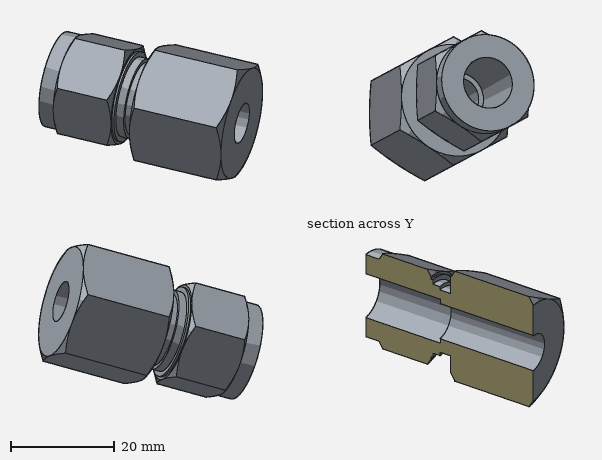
import cadquery as cq
import math

HEX_SIDES = 6

collar_end = 3.0
nut_end = 15.05
flange_end = 15.48
shoulder_end = 17.1
body_start = 19.5
total_length = 38.6

nut_across_flats = 19.0
body_across_flats = 22.0
collar_diameter = nut_across_flats
flange_diameter = 18.0
shoulder_diameter = 15.98
neck_diameter = 14.48
hex_chamfer_angle = 30.0

tube_bore_diameter = 10.0
through_bore_diameter = 8.0
tube_bore_depth = shoulder_end


def cylinder(start, end, diameter):
    """Solid cylinder on the X axis between two stations."""
    return cq.Workplane("YZ", origin=(start, 0, 0)).circle(diameter / 2).extrude(end - start)


def chamfered_hex(start, end, across_flats):
    """Hexagonal prism with corners up and down, its corners turned to a cone at both ends."""
    flat_radius = across_flats / 2
    corner_radius = flat_radius / math.cos(math.pi / HEX_SIDES)
    chamfer_length = (corner_radius - flat_radius) * math.tan(math.radians(hex_chamfer_angle))

    prism = (
        cq.Workplane("YZ", origin=(start, 0, 0))
        .polygon(HEX_SIDES, 2 * corner_radius)
        .extrude(end - start)
        .rotate((0, 0, 0), (1, 0, 0), 90)
    )
    envelope = (
        cq.Workplane("XY")
        .moveTo(start, 0)
        .lineTo(start, flat_radius)
        .lineTo(start + chamfer_length, corner_radius)
        .lineTo(end - chamfer_length, corner_radius)
        .lineTo(end, flat_radius)
        .lineTo(end, 0)
        .close()
        .revolve(360, (0, 0, 0), (1, 0, 0))
    )
    return prism.intersect(envelope)


collar = cylinder(0, collar_end, collar_diameter)
nut = chamfered_hex(collar_end, nut_end, nut_across_flats)

flange = cylinder(nut_end, flange_end, flange_diameter)
shoulder = cylinder(flange_end, shoulder_end, shoulder_diameter)
neck = cylinder(shoulder_end, body_start, neck_diameter)
body = chamfered_hex(body_start, total_length, body_across_flats)

outer = collar.union(nut).union(flange).union(shoulder).union(neck).union(body)

tube_bore = cylinder(0, tube_bore_depth, tube_bore_diameter)
through_bore = cylinder(0, total_length, through_bore_diameter)

result = outer.cut(tube_bore).cut(through_bore)